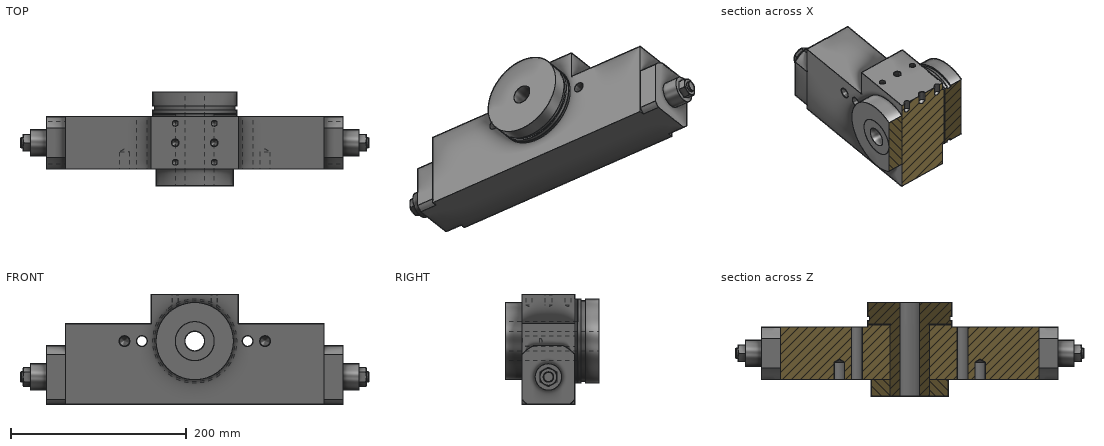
import cadquery as cq
import math


overall_length = 396.0
housing_length = 294.5
housing_width = 60.0
housing_height = 92.0
tower_length = 99.5
tower_top = 125.0
shaft_height = 72.0
boss_diameter = 96.0
boss_length = 2.57

end_axis_height = 31.3
end_block_x = 168.5
end_block_width = 59.8
end_block_top = 67.0
end_block_round = 79.0
port_x = 187.0
port_diameter = 30.0
nut_x = 195.2
nut_across_flats = 19.0
nut_chamfer = 0.8
screw_diameter = 12.0
screw_chamfer = 0.6

blind_hole_offset = 80.0
blind_hole_diameter = 11.5
blind_hole_depth = 19.8
through_hole_offset = 60.0
through_hole_diameter = 12.0
top_hole_x = 22.0
top_hole_depth = 12.0
top_center_hole_diameter = 8.0
top_corner_hole_diameter = 6.7
top_corner_hole_y = top_hole_x
drill_point_angle = 118.0
hole_chamfer = 0.5

cover_diameter = 88.0
cover_length = 19.0

shaft_diameter = 44.5
bore_diameter = 22.0
flange_diameter = boss_diameter
flange_length = 24.5
groove_diameter = 92.0
groove_width = 4.8
rim_length = 4.0
flange_gap = 0.6

housing_front = -housing_width / 2
housing_back = housing_width / 2
cover_front = housing_front - cover_length
flange_front = housing_back + boss_length + flange_gap


def cylinder_y(diameter, y_start, length):
    """Cylinder on the rotor axis, running toward +Y."""
    start = cq.Vector(0, y_start, shaft_height)
    return cq.Workplane(cq.Solid.makeCylinder(diameter / 2, length, start, cq.Vector(0, 1, 0)))


def drilled_hole(diameter, depth, mouth, direction, chamfer=0):
    """Cutter for a blind hole: a cylinder with a drill point and an optional mouth chamfer."""
    radius = diameter / 2
    point_length = radius / math.tan(math.radians(drill_point_angle / 2))
    inward = cq.Vector(*direction)
    start = cq.Vector(*mouth)
    straight = cq.Solid.makeCylinder(radius, depth, start, inward)
    point = cq.Solid.makeCone(radius, 0, point_length, start + inward * depth, inward)
    hole = straight.fuse(point)
    if chamfer:
        hole = hole.fuse(cq.Solid.makeCone(radius + chamfer, radius, chamfer, start, inward))
    return cq.Workplane(hole)


def make_end(side):
    """End block, port and adjusting screw; side is +1 for +X and -1 for -X."""
    face_x = housing_length / 2
    outer_face = ">X" if side > 0 else "<X"
    axis_plane = cq.Plane(
        origin=(side * face_x, 0, end_axis_height), xDir=(0, 1, 0), normal=(side, 0, 0)
    )
    block_length = end_block_x - face_x
    block = (
        cq.Workplane("XY")
        .box(block_length, end_block_width, end_block_top, centered=(True, True, False))
        .translate((side * (face_x + block_length / 2), 0, 0))
    )
    turned_envelope = cq.Workplane(axis_plane).circle(end_block_round / 2).extrude(block_length)
    port = cq.Workplane(axis_plane).circle(port_diameter / 2).extrude(port_x - face_x)
    nut_corners = nut_across_flats / math.cos(math.pi / 6)
    nut_length = nut_x - face_x
    nut_envelope = (
        cq.Workplane(axis_plane)
        .circle(nut_corners / 2)
        .extrude(nut_length)
        .faces(outer_face)
        .chamfer(nut_chamfer, (nut_corners - nut_across_flats) / 2)
    )
    nut = (
        cq.Workplane(axis_plane)
        .transformed(rotate=(0, 0, 90))
        .polygon(6, nut_corners)
        .extrude(nut_length)
        .intersect(nut_envelope)
    )
    screw = (
        cq.Workplane(axis_plane)
        .circle(screw_diameter / 2)
        .extrude(overall_length / 2 - face_x)
        .faces(outer_face)
        .chamfer(screw_chamfer)
    )
    return block.intersect(turned_envelope).union(port).union(nut).union(screw)


def make_housing():
    body = cq.Workplane("XY").box(
        housing_length, housing_width, housing_height, centered=(True, True, False)
    )
    tower = cq.Workplane("XY").box(
        tower_length, housing_width, tower_top, centered=(True, True, False)
    )
    housing = body.union(tower).union(cylinder_y(boss_diameter, housing_back, boss_length))
    for side in (-1, 1):
        housing = housing.union(make_end(side))

    housing = housing.cut(cylinder_y(shaft_diameter, housing_front, housing_width + boss_length))

    for side in (-1, 1):
        mouth = (side * blind_hole_offset, housing_front, shaft_height)
        housing = housing.cut(
            drilled_hole(blind_hole_diameter, blind_hole_depth, mouth, (0, 1, 0), hole_chamfer)
        )
        through_hole = cylinder_y(through_hole_diameter, housing_front, housing_width)
        housing = housing.cut(through_hole.translate((side * through_hole_offset, 0, 0)))

        for y, diameter, chamfer in (
            (-top_corner_hole_y, top_corner_hole_diameter, 0),
            (0, top_center_hole_diameter, hole_chamfer),
            (top_corner_hole_y, top_corner_hole_diameter, 0),
        ):
            mouth = (side * top_hole_x, y, tower_top)
            housing = housing.cut(drilled_hole(diameter, top_hole_depth, mouth, (0, 0, -1), chamfer))
    return housing


def make_cover():
    cover = cylinder_y(cover_diameter, cover_front, cover_length)
    return cover.cut(cylinder_y(shaft_diameter, cover_front, cover_length))


def make_rotor():
    flange_back = flange_front + flange_length
    rotor = cylinder_y(shaft_diameter, cover_front, flange_back - cover_front)
    flange = cylinder_y(flange_diameter, flange_front, flange_length)
    groove_start = flange_front + rim_length
    groove = cylinder_y(flange_diameter, groove_start, groove_width).cut(
        cylinder_y(groove_diameter, groove_start, groove_width)
    )
    bore = cylinder_y(bore_diameter, cover_front, flange_back - cover_front)
    return rotor.union(flange).cut(groove).cut(bore)


housing = make_housing()
cover = make_cover()
rotor = make_rotor()

result = cq.Compound.makeCompound([housing.val(), cover.val(), rotor.val()])